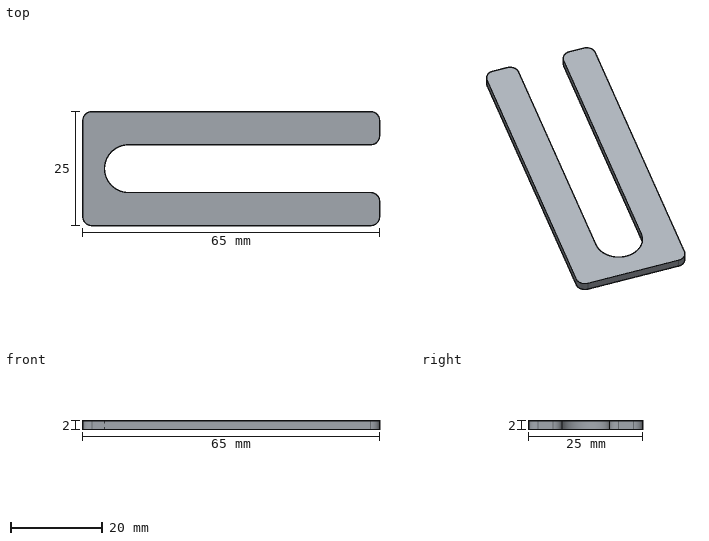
import cadquery as cq

length = 65.0
width = 25.0
thickness = 2.0

slot_width = 10.4
slot_wall = 4.8

corner_radius = 2.0

slot_radius = slot_width / 2
back_edge = -length / 2
front_edge = length / 2
slot_center_x = back_edge + slot_wall + slot_radius


def make_plate():
    return cq.Workplane("XY").box(length, width, thickness, centered=(True, True, False))


def make_slot():
    return (
        cq.Workplane("XY")
        .moveTo(front_edge, slot_radius)
        .lineTo(slot_center_x, slot_radius)
        .threePointArc((slot_center_x - slot_radius, 0), (slot_center_x, -slot_radius))
        .lineTo(front_edge, -slot_radius)
        .close()
        .extrude(thickness)
    )


def round_corners(fork):
    return (
        fork.edges("|Z and >X").fillet(corner_radius)
        .edges("|Z and <X").fillet(corner_radius)
    )


result = round_corners(make_plate().cut(make_slot()))